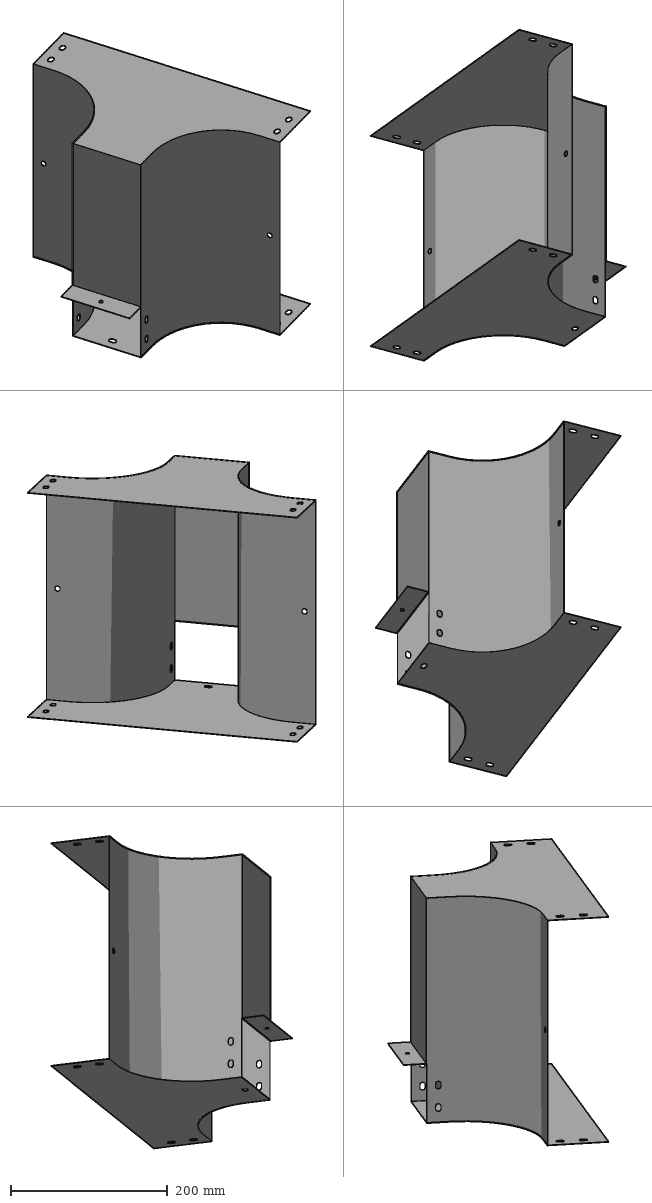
import cadquery as cq

length = 360.0
height = 300.0
sheet = 1.0
run_depth = 80.0
bend_radius = 100.0
collar = 30.0
branch_width = length - 2 * (collar + bend_radius)
branch_end = run_depth + bend_radius + collar
overall_depth = 240.0
lip_top = 80.0

slot_width = 7.0
slot_length = 10.0
wall_hole_diameter = 7.0
lip_hole_diameter = 5.0
hole_inset = collar / 2
run_slot_depths = (30.0, 60.0)
branch_slot_heights = (20.0, 50.0)


def tee_profile(inset):
    """Closed tee outline with its walled edges moved inward from the outer wall surface by inset."""
    half_length = length / 2
    half_branch = branch_width / 2 - inset
    radius = bend_radius + inset
    bend_x = half_branch + radius
    wall_y = -run_depth + inset
    bend_y = wall_y - radius
    diagonal = radius * 0.5 ** 0.5
    return (
        cq.Workplane("XY")
        .moveTo(-half_length, 0)
        .lineTo(half_length, 0)
        .lineTo(half_length, wall_y)
        .lineTo(bend_x, wall_y)
        .threePointArc((bend_x - diagonal, bend_y + diagonal), (half_branch, bend_y))
        .lineTo(half_branch, -branch_end)
        .lineTo(-half_branch, -branch_end)
        .lineTo(-half_branch, bend_y)
        .threePointArc((-bend_x + diagonal, bend_y + diagonal), (-bend_x, wall_y))
        .lineTo(-half_length, wall_y)
        .close()
    )


def box_between(low, high):
    """Box between two opposite corners."""
    size = [b - a for a, b in zip(low, high)]
    return cq.Workplane("XY").box(*size, centered=False).translate(low)


walls = tee_profile(0).extrude(height).cut(tee_profile(sheet).extrude(height))
floor = tee_profile(sheet).extrude(sheet)
cover = floor.translate((0, 0, height - sheet))

panel = box_between(
    (-branch_width / 2, -branch_end - sheet, lip_top - sheet),
    (branch_width / 2, -branch_end, height),
)
lip = box_between(
    (-branch_width / 2, -overall_depth, lip_top - sheet),
    (branch_width / 2, -branch_end, lip_top),
)

result = walls
for sheet_part in (floor, cover, panel, lip):
    result = result.union(sheet_part, clean=False)

run_hole_x = length / 2 - hole_inset
run_slots = (
    cq.Workplane("XY")
    .pushPoints([(x, -y) for x in (-run_hole_x, run_hole_x) for y in run_slot_depths])
    .slot2D(slot_length, slot_width, 90)
    .extrude(height)
)

wall_holes = (
    cq.Workplane("XZ")
    .pushPoints([(-run_hole_x, height / 2), (run_hole_x, height / 2)])
    .circle(wall_hole_diameter / 2)
    .extrude(branch_end)
)

branch_hole_y = -branch_end + hole_inset
branch_slots = (
    cq.Workplane("YZ")
    .pushPoints([(branch_hole_y, z) for z in branch_slot_heights])
    .slot2D(slot_length, slot_width, 90)
    .extrude(branch_width, both=True)
)

floor_slot = cq.Workplane("XY").center(0, branch_hole_y).slot2D(slot_length, slot_width).extrude(sheet)

lip_hole_y = -(branch_end + overall_depth) / 2
lip_hole = cq.Workplane("XY").center(0, lip_hole_y).circle(lip_hole_diameter / 2).extrude(lip_top)

for opening in (run_slots, wall_holes, branch_slots, floor_slot, lip_hole):
    result = result.cut(opening, clean=False)